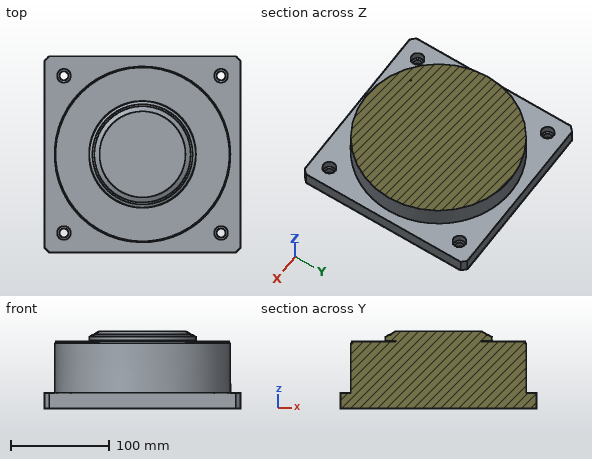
import cadquery as cq
import math

plate_side = 200.0
plate_thickness = 16.0
plate_corner_chamfer = 5.0

hole_spacing = 160.0
hole_diameter = 9.0
counterbore_diameter = 14.0
counterbore_depth = 9.0

housing_base_diameter = 179.2
housing_rim_diameter = 179.0
housing_top_diameter = 177.0
housing_top = 68.5
rim_step_height = 2.0

neck_diameter = 87.61
gap_height = 0.5
flange_diameter = 109.0
flange_top = 75.0
flange_lower_chamfer = 0.5
flange_bevel_height = 2.0

cap_diameter = 98.0
cap_bevel_height = 3.0
total_height = 79.0

bevel_angle = math.radians(30)


def make_plate():
    """Base plate with cut corners and four counterbored holes."""
    plate = (
        cq.Workplane("XY")
        .rect(plate_side, plate_side)
        .extrude(plate_thickness)
        .edges("|Z")
        .chamfer(plate_corner_chamfer)
    )
    return (
        plate.faces(">Z")
        .workplane()
        .rect(hole_spacing, hole_spacing, forConstruction=True)
        .vertices()
        .cboreHole(hole_diameter, counterbore_diameter, counterbore_depth)
    )


def revolve_profile(half_profile):
    """Turn a closed (radius, height) outline about the Z axis."""
    return cq.Workplane("XZ").polyline(half_profile).close().revolve(360, (0, 0, 0), (0, 1, 0))


def make_housing():
    rim_radius = housing_rim_diameter / 2
    top_radius = housing_top_diameter / 2
    step_level = housing_top - rim_step_height
    return revolve_profile([
        (0, plate_thickness),
        (housing_base_diameter / 2, plate_thickness),
        (rim_radius, step_level),
        (top_radius, step_level),
        (top_radius, housing_top),
        (0, housing_top),
    ])


def make_flanged_cap():
    """Neck, flange and cap stacked on top of the housing."""
    neck_radius = neck_diameter / 2
    flange_radius = flange_diameter / 2
    cap_radius = cap_diameter / 2
    flange_bottom = housing_top + gap_height
    flange_bevel_width = flange_bevel_height / math.tan(bevel_angle)
    cap_bevel_width = cap_bevel_height / math.tan(bevel_angle)
    return revolve_profile([
        (0, housing_top),
        (neck_radius, housing_top),
        (neck_radius, flange_bottom),
        (flange_radius - flange_lower_chamfer, flange_bottom),
        (flange_radius, flange_bottom + flange_lower_chamfer),
        (flange_radius, flange_top - flange_bevel_height),
        (flange_radius - flange_bevel_width, flange_top),
        (cap_radius, flange_top),
        (cap_radius, total_height - cap_bevel_height),
        (cap_radius - cap_bevel_width, total_height),
        (0, total_height),
    ])


result = make_plate().union(make_housing()).union(make_flanged_cap())